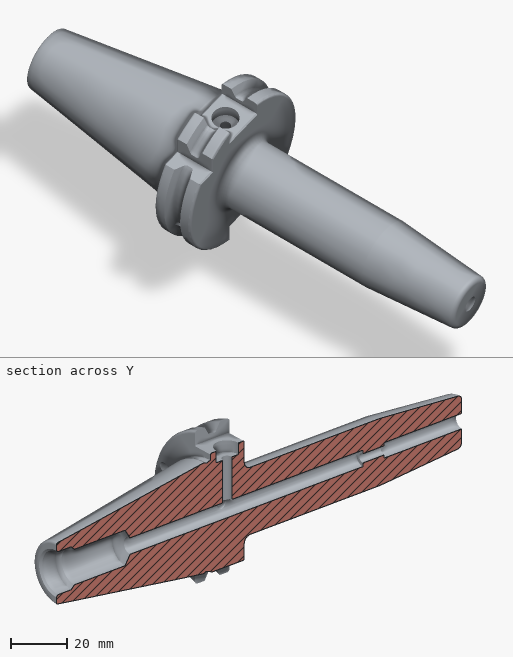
import cadquery as cq
import math


gauge_radius = 44.45 / 2
taper_length = 68.4
taper_slope = 7 / 48
taper_end_radius = gauge_radius - taper_slope * taper_length
taper_end_fillet = 1.0

undercut_radius = 21.7
undercut_start = 0.3
undercut_end = 2.6

flange_radius = 63.42 / 2
flange_start = 3.2
flange_end = 19.1
flange_fillet = 1.0
groove_center = 11.1
groove_root_radius = 28.3
groove_mouth_width = 7.0
groove_wall_angle = 30.0
groove_root_fillet = 1.2

nose_end = 120.0
shank_radius = 13.5
shank_fillet = 2.75
nose_radius = 10.5
nose_angle = 4.5
nose_fillet = 2.0

pilot_radius = 8.5
pilot_depth = 7.0
pilot_chamfer = 0.8
thread_radius = 7.0
thread_depth = 32.0
drill_point_angle = 59.0
passage_radius = 3.2
throat_radius = 1.75
throat_length = 10.0
tool_bore_radius = 3.0
tool_bore_depth = 36.0

slot_width = 16.4
upper_slot_floor = 25.0
lower_slot_floor = 22.8
notch_floor = 18.5
edge_break = 0.5

chip_seat_radius = 5.0
chip_seat_depth = 4.6
chip_hole_radius = 2.0

coolant_radius = 2.0
coolant_face_radius = 26.7
coolant_tilt = 45.0
coolant_angles = (20.0, 200.0)


def make_body():
    """Revolved outside: taper, undercut, flange, shank and nose."""
    nose_start = nose_end - (shank_radius - nose_radius) / math.tan(math.radians(nose_angle))
    shank_start = flange_end + shank_fillet
    outline = (
        cq.Workplane("XZ")
        .moveTo(-taper_length, 0)
        .lineTo(-taper_length, taper_end_radius)
        .lineTo(0, gauge_radius)
        .lineTo(undercut_start, gauge_radius)
        .lineTo((undercut_start + undercut_end) / 2, undercut_radius)
        .lineTo(undercut_end, gauge_radius)
        .lineTo(flange_start, gauge_radius)
        .lineTo(flange_start, flange_radius - flange_fillet)
        .radiusArc((flange_start + flange_fillet, flange_radius), flange_fillet)
        .lineTo(flange_end - flange_fillet, flange_radius)
        .radiusArc((flange_end, flange_radius - flange_fillet), flange_fillet)
        .lineTo(flange_end, shank_radius + shank_fillet)
        .radiusArc((shank_start, shank_radius), -shank_fillet)
        .lineTo(nose_start, shank_radius)
        .lineTo(nose_end, nose_radius)
        .lineTo(nose_end, 0)
        .close()
    )
    body = outline.revolve(360, (0, 0, 0), (1, 0, 0))
    body = body.faces("<X").edges().fillet(taper_end_fillet)
    return body.faces(">X").edges().fillet(nose_fillet)


def make_groove():
    """Ring with a V section, a flat root and rounded root corners."""
    depth = flange_radius - groove_root_radius
    mouth_half = groove_mouth_width / 2
    root_half = mouth_half - depth * math.tan(math.radians(groove_wall_angle))
    ring = (
        cq.Workplane("XZ")
        .moveTo(groove_center - mouth_half, flange_radius)
        .lineTo(groove_center - root_half, groove_root_radius)
        .lineTo(groove_center + root_half, groove_root_radius)
        .lineTo(groove_center + mouth_half, flange_radius)
        .close()
        .revolve(360, (0, 0, 0), (1, 0, 0))
    )
    root_edges = cq.selectors.RadiusNthSelector(0)
    return ring.edges(root_edges).fillet(groove_root_fillet)


def make_bore():
    """Stepped bore running through the whole holder."""
    bore_start = -taper_length
    thread_end = bore_start + thread_depth
    cone_length = (thread_radius - passage_radius) / math.tan(math.radians(drill_point_angle))
    tool_bore_start = nose_end - tool_bore_depth
    throat_start = tool_bore_start - throat_length
    return (
        cq.Workplane("XZ")
        .moveTo(bore_start, 0)
        .lineTo(bore_start, pilot_radius + pilot_chamfer)
        .lineTo(bore_start + pilot_chamfer, pilot_radius)
        .lineTo(bore_start + pilot_depth, pilot_radius)
        .lineTo(bore_start + pilot_depth + pilot_radius - thread_radius, thread_radius)
        .lineTo(thread_end, thread_radius)
        .lineTo(thread_end + cone_length, passage_radius)
        .lineTo(throat_start, passage_radius)
        .lineTo(throat_start, throat_radius)
        .lineTo(tool_bore_start, throat_radius)
        .lineTo(tool_bore_start, tool_bore_radius)
        .lineTo(nose_end, tool_bore_radius)
        .lineTo(nose_end, 0)
        .close()
        .revolve(360, (0, 0, 0), (1, 0, 0))
    )


def flared_cut(floor, y_min, y_max):
    """Cutter above height `floor` across the flange, its floor edges broken at both flange faces."""
    return (
        cq.Workplane("XZ", origin=(0, y_max, 0))
        .moveTo(flange_start, flange_radius)
        .lineTo(flange_start, floor - edge_break)
        .lineTo(flange_start + edge_break, floor)
        .lineTo(flange_end - edge_break, floor)
        .lineTo(flange_end, floor - edge_break)
        .lineTo(flange_end, flange_radius)
        .close()
        .extrude(y_max - y_min)
    )


def make_flange_cuts():
    """Two opposed drive slots and the corner notch."""
    half = slot_width / 2
    upper_slot = flared_cut(upper_slot_floor, -half, half)
    lower_slot = flared_cut(lower_slot_floor, -half, half).rotate((0, 0, 0), (1, 0, 0), 180)
    above_notch = flared_cut(notch_floor, -flange_radius, flange_radius)
    beside_notch = above_notch.rotate((0, 0, 0), (1, 0, 0), 90)
    return upper_slot, lower_slot, above_notch.intersect(beside_notch)


def make_chip_seat():
    """Round pocket with a smaller hole leading down to the bore."""
    floor = cq.Workplane("XY", origin=(groove_center, 0, upper_slot_floor))
    seat = floor.circle(chip_seat_radius).extrude(-chip_seat_depth)
    hole = floor.circle(chip_hole_radius).extrude(-upper_slot_floor)
    return seat.union(hole)


def make_coolant_channel(angle):
    """Radial hole from the groove to the bore, met by a tilted hole from the flange face."""
    radial = cq.Solid.makeCylinder(
        coolant_radius, flange_radius, cq.Vector(groove_center, 0, 0), cq.Vector(0, 1, 0)
    )
    tilt = math.radians(coolant_tilt)
    direction = cq.Vector(math.cos(tilt), -math.sin(tilt), 0)
    entry = cq.Vector(flange_start, coolant_face_radius, 0)
    inside = (groove_center - flange_start) / math.cos(tilt)
    lead_in = 2 * coolant_radius
    tilted = cq.Solid.makeCylinder(coolant_radius, lead_in + inside, entry - direction * lead_in, direction)
    channel = cq.Workplane(radial).union(cq.Workplane(tilted))
    return channel.rotate((0, 0, 0), (1, 0, 0), angle)


result = make_body().cut(make_groove()).cut(make_bore()).cut(make_chip_seat())
for flange_cut in make_flange_cuts():
    result = result.cut(flange_cut)
for channel_angle in coolant_angles:
    result = result.cut(make_coolant_channel(channel_angle))